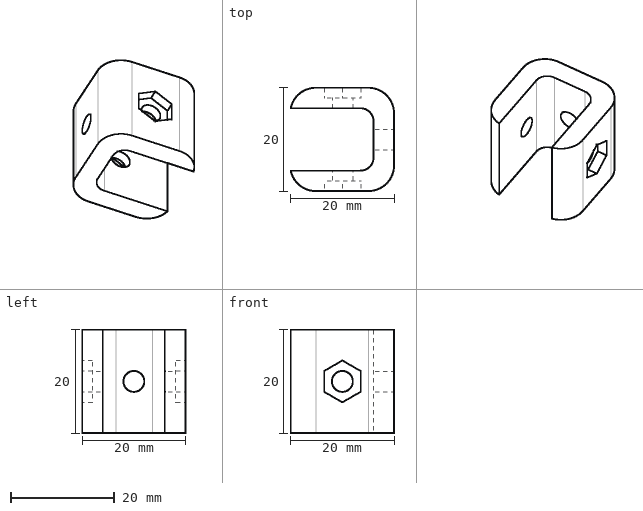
import cadquery as cq
import math

size = 20.0
wall = 4.0
outer_radius = 5.0
inner_radius = 2.5
hole_diameter = 4.0
nut_corner_diameter = 8.08
nut_depth = 2.0

channel_width = size - 2 * wall

arc_rise = outer_radius - wall
tip_loss = outer_radius - math.sqrt(outer_radius**2 - arc_rise**2)
block_length = size + tip_loss


def rounded_block():
    """Square block with rounded vertical edges."""
    return (
        cq.Workplane("XY")
        .box(block_length, size, size)
        .translate((-tip_loss / 2, 0, 0))
        .edges("|Z")
        .fillet(outer_radius)
    )


def channel():
    """Full-height channel, open at the -X side."""
    return (
        cq.Workplane("XY")
        .box(block_length, channel_width, size)
        .translate((-wall - tip_loss / 2, 0, 0))
        .edges("|Z and >X")
        .fillet(inner_radius)
    )


def cross_hole():
    """Hole along Y through both side walls."""
    return cq.Workplane("XZ").circle(hole_diameter / 2).extrude(size / 2, both=True)


def back_hole():
    """Hole along X through the back wall."""
    return cq.Workplane("YZ").circle(hole_diameter / 2).extrude(size / 2)


def nut_pocket():
    """Hexagonal pocket in the -Y face, with corners pointing up and down."""
    return (
        cq.Workplane("XZ", origin=(0, -size / 2, 0))
        .transformed(rotate=(0, 0, 90))
        .polygon(6, nut_corner_diameter)
        .extrude(-nut_depth)
    )


result = (
    rounded_block()
    .cut(channel())
    .cut(cross_hole())
    .cut(back_hole())
    .cut(nut_pocket())
    .cut(nut_pocket().mirror("XZ"))
)